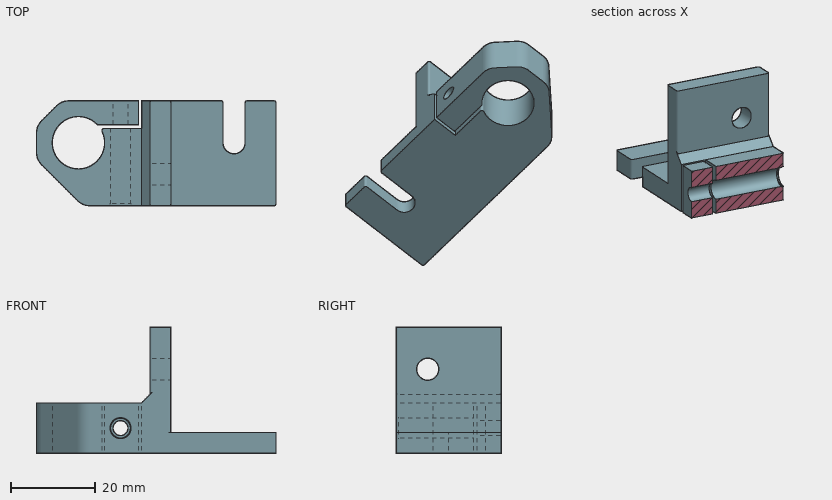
import cadquery as cq
import math

LENGTH = 57.0
WIDTH = 25.0
HEIGHT = 30.0

EDGE_RADIUS = 0.5

BLOCK_HEIGHT = 12.0
BORE_X = 10.0
BORE_Y = 15.0
BORE_DIAMETER = 12.4
FRONT_BEVEL = 11.0
REAR_BEVEL = 6.0
BLOCK_CORNER_RADIUS = 4.0

SLIT_END_X = 25.0
SLIT_BOTTOM_Y = 18.4
SLIT_WIDTH = 0.85
ARM_END_GAP = 0.7

SCREW_X = 20.0
SCREW_Z = BLOCK_HEIGHT / 2
SCREW_CLEARANCE_DIAMETER = 3.5
INSERT_DIAMETER = 4.7
INSERT_MOUTH_DIAMETER = 5.0
INSERT_MOUTH_DEPTH = 0.5

WALL_X = 27.0
WALL_THICKNESS = 5.0
WALL_BACK_X = WALL_X + WALL_THICKNESS
GUSSET_SIZE = 2.0

PLATE_THICKNESS = 5.0
MOUNT_DIAMETER = 5.2
WALL_HOLE_Y = 7.5
WALL_HOLE_Z = 20.0
PLATE_SLOT_X = 47.0
PLATE_SLOT_END_Y = 15.0


def box(x_min, x_max, y_min, y_max, z_min, z_max):
    """Axis-aligned box given by its limits."""
    size = (x_max - x_min, y_max - y_min, z_max - z_min)
    return cq.Workplane("XY", origin=(x_min, y_min, z_min)).box(*size, centered=False)


def cylinder_along_y(diameter, y_min, y_max):
    """Cylinder on the clamp screw axis between two Y positions."""
    plane = cq.Workplane("XZ", origin=(SCREW_X, y_min, SCREW_Z))
    return plane.circle(diameter / 2).extrude(-(y_max - y_min))


def clamp_block():
    """Block with two 45 degree bevels at its free end and rounded bevel corners."""
    block_end_x = WALL_BACK_X - EDGE_RADIUS
    outline = [
        (block_end_x, 0),
        (FRONT_BEVEL, 0),
        (0, FRONT_BEVEL),
        (0, WIDTH - REAR_BEVEL),
        (REAR_BEVEL, WIDTH),
        (block_end_x, WIDTH),
    ]
    block = cq.Workplane("XY").polyline(outline).close().extrude(BLOCK_HEIGHT)
    return block.edges("|Z").edges("not(>X)").fillet(BLOCK_CORNER_RADIUS)


def wall():
    """Upright wall with rounded vertical edges."""
    upright = box(WALL_X, WALL_BACK_X, 0, WIDTH, 0, HEIGHT)
    return upright.edges("|Z").fillet(EDGE_RADIUS)


def gusset():
    """45 degree strip from the clamp block to the wall, reaching in past the rounded wall edges."""
    reach = GUSSET_SIZE + EDGE_RADIUS
    start_x = WALL_X - GUSSET_SIZE
    outline = [
        (start_x, BLOCK_HEIGHT),
        (start_x + reach, BLOCK_HEIGHT),
        (start_x + reach, BLOCK_HEIGHT + reach),
    ]
    return cq.Workplane("XZ").polyline(outline).close().extrude(-WIDTH)


def plate():
    """Base plate with rounded free corners and an open-ended mounting slot."""
    base = box(WALL_X, LENGTH, 0, WIDTH, 0, PLATE_THICKNESS)
    base = base.edges("|Z and >X").fillet(EDGE_RADIUS)
    half_slot = MOUNT_DIAMETER / 2
    slot_left = PLATE_SLOT_X - half_slot
    slot_right = PLATE_SLOT_X + half_slot
    slot = box(slot_left, slot_right, PLATE_SLOT_END_Y, WIDTH, 0, PLATE_THICKNESS)
    slot_end = cq.Workplane("XY", origin=(PLATE_SLOT_X, PLATE_SLOT_END_Y, 0))
    slot_end = slot_end.circle(half_slot).extrude(PLATE_THICKNESS)
    base = base.cut(slot).cut(slot_end)
    for lip_x in (slot_left, slot_right):
        lip = cq.NearestToPointSelector((lip_x, WIDTH, PLATE_THICKNESS / 2))
        base = base.edges("|Z").edges(lip).fillet(EDGE_RADIUS)
    return base


def cut_bore_and_slit(body):
    """Bore plus the slit that runs from it to the free end of the clamping arm."""
    slit_top_y = SLIT_BOTTOM_Y + SLIT_WIDTH
    bore = cq.Workplane("XY").center(BORE_X, BORE_Y).circle(BORE_DIAMETER / 2).extrude(BLOCK_HEIGHT)
    slit = box(BORE_X, SLIT_END_X, SLIT_BOTTOM_Y, slit_top_y, 0, BLOCK_HEIGHT)
    arm_gap = box(SLIT_END_X - ARM_END_GAP, SLIT_END_X, SLIT_BOTTOM_Y, WIDTH, 0, BLOCK_HEIGHT)
    body = body.cut(bore).cut(slit).cut(arm_gap)
    for lip_y in (SLIT_BOTTOM_Y, slit_top_y):
        lip_x = BORE_X + math.sqrt((BORE_DIAMETER / 2) ** 2 - (lip_y - BORE_Y) ** 2)
        lip = cq.NearestToPointSelector((lip_x, lip_y, BLOCK_HEIGHT / 2))
        body = body.edges("|Z").edges(lip).fillet(EDGE_RADIUS)
    return body


def cut_clamp_screw(body):
    """Insert hole up to the slit, with a wider mouth, and a clearance hole through the arm."""
    body = body.cut(cylinder_along_y(SCREW_CLEARANCE_DIAMETER, 0, WIDTH))
    body = body.cut(cylinder_along_y(INSERT_DIAMETER, 0, SLIT_BOTTOM_Y))
    return body.cut(cylinder_along_y(INSERT_MOUTH_DIAMETER, 0, INSERT_MOUTH_DEPTH))


def cut_wall_hole(body):
    """Mounting hole through the wall along X."""
    plane = cq.Workplane("YZ", origin=(WALL_X, WALL_HOLE_Y, WALL_HOLE_Z))
    return body.cut(plane.circle(MOUNT_DIAMETER / 2).extrude(WALL_THICKNESS))


result = clamp_block().union(wall()).union(gusset()).union(plate())
result = cut_bore_and_slit(result)
result = cut_clamp_screw(result)
result = cut_wall_hole(result)